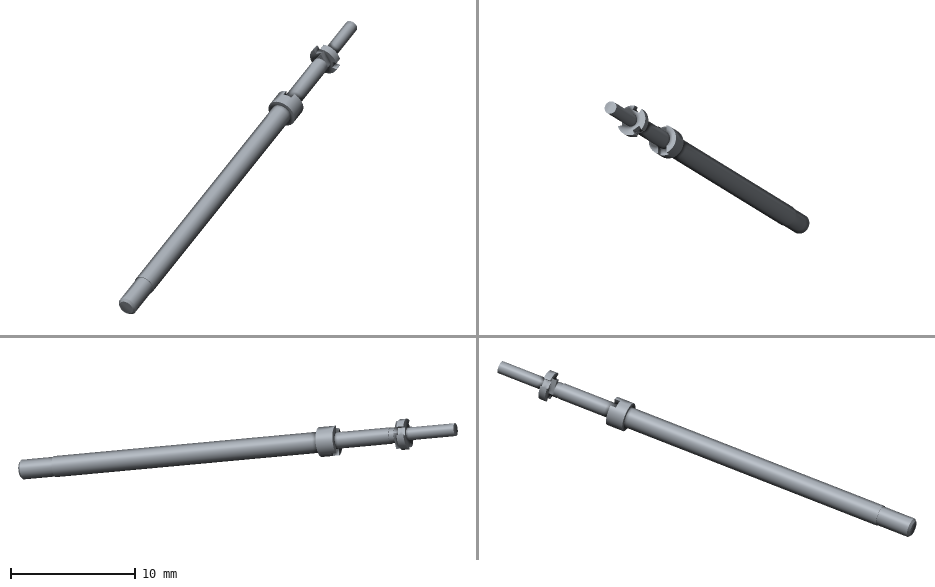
import cadquery as cq
import math

LENGTH = 37.1

TAIL_END = 2.93
COLLAR_START = 25.55
COLLAR_END = 27.0
NECK_START = 31.57
DIAMOND_START = 32.0
FLANGE_START = 32.45
FLANGE_END = 33.05

TAIL_DIAMETER = 1.6
BODY_DIAMETER = 1.7
COLLAR_DIAMETER = 2.4
BARREL_DIAMETER = 1.35
NECK_DIAMETER = 1.25
FLANGE_DIAMETER = 2.5
TIP_DIAMETER = 1.05
TAIL_CHAMFER = 0.2

SLOT_WIDTH = 0.75
SLOT_LENGTH = 0.5

NOTCH_COUNT = 3
NOTCH_WIDTH = 0.65
NOTCH_FLOOR_RADIUS = 0.8

DIAMOND_HALF_WIDTH = 0.65
DIAMOND_SIDE_ANGLE = 60
DIAMOND_HALF_HEIGHT = DIAMOND_HALF_WIDTH * math.tan(math.radians(DIAMOND_SIDE_ANGLE))


def rod(diameter, start, end):
    """Solid cylinder on the Y axis between two stations."""
    return cq.Workplane("XZ", origin=(0, start, 0)).circle(diameter / 2).extrude(start - end)


def tail():
    """Rear end of the pin, with a chamfered rim."""
    return rod(TAIL_DIAMETER, 0, TAIL_END).faces("<Y").chamfer(TAIL_CHAMFER)


def slotted_collar():
    """Collar with a key slot at top and bottom; the barrel fills the slots' common middle."""
    collar = rod(COLLAR_DIAMETER, COLLAR_START, COLLAR_END)
    slots = cq.Workplane("XY").box(SLOT_WIDTH, SLOT_LENGTH, COLLAR_DIAMETER)
    return collar.cut(slots.translate((0, COLLAR_END - SLOT_LENGTH / 2, 0)))


def notched_flange():
    """Thin flange with flat-floored notches spaced evenly around its rim."""
    flange = rod(FLANGE_DIAMETER, FLANGE_START, FLANGE_END)
    thickness = FLANGE_END - FLANGE_START
    cutter_length = FLANGE_DIAMETER / 2
    cutter = cq.Workplane("XY").box(cutter_length, thickness, NOTCH_WIDTH)
    cutter = cutter.translate((NOTCH_FLOOR_RADIUS + cutter_length / 2, FLANGE_START + thickness / 2, 0))
    for index in range(NOTCH_COUNT):
        flange = flange.cut(cutter.rotate((0, 0, 0), (0, 1, 0), index * 360 / NOTCH_COUNT))
    return flange


def diamond_block():
    """Four-sided block between the neck and the flange."""
    corners = [
        (DIAMOND_HALF_WIDTH, 0),
        (0, DIAMOND_HALF_HEIGHT),
        (-DIAMOND_HALF_WIDTH, 0),
        (0, -DIAMOND_HALF_HEIGHT),
    ]
    outline = cq.Workplane("XZ", origin=(0, DIAMOND_START, 0)).polyline(corners).close()
    return outline.extrude(DIAMOND_START - FLANGE_START)


result = (
    tail()
    .union(rod(BODY_DIAMETER, TAIL_END, COLLAR_START))
    .union(slotted_collar())
    .union(rod(BARREL_DIAMETER, COLLAR_START, NECK_START))
    .union(rod(NECK_DIAMETER, NECK_START, DIAMOND_START))
    .union(diamond_block())
    .union(notched_flange())
    .union(rod(TIP_DIAMETER, FLANGE_END, LENGTH))
)